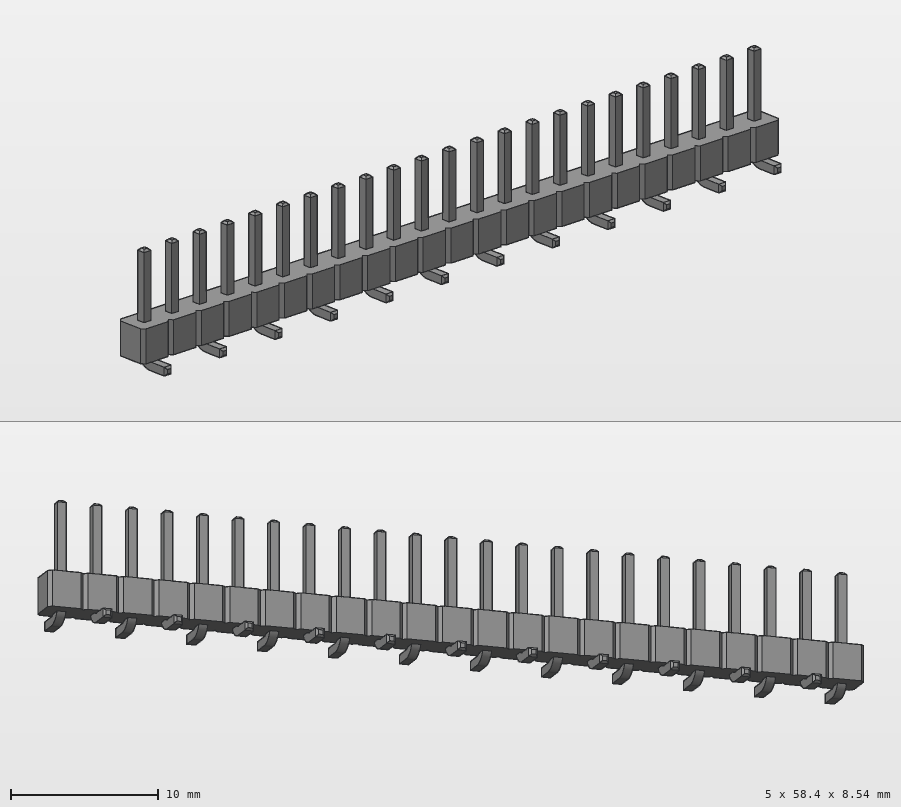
import cadquery as cq
import math

pin_count = 23
pitch = 2.54
body_width = 2.54
body_height = 2.54
body_corner_cut = pitch / 10
body_bottom = 0.76

pin_size = 0.64
pin_top = 8.54
tip_length = pin_size / 4

leg_reach = 2.5
bend_radius = 2 * pin_size


def make_body():
    """Insulator: one block per pin, with the four upright corners of each block cut off."""
    blocks = (
        cq.Workplane("XY", origin=(0, 0, body_bottom))
        .rarray(1, pitch, 1, pin_count)
        .rect(body_width, pitch)
        .extrude(body_height, combine=False)
    )
    body = None
    for block in blocks.vals():
        cut_block = cq.Workplane(block).edges("|Z").chamfer(body_corner_cut)
        body = cut_block if body is None else body.union(cut_block)
    return body


def make_tip(base):
    """Tapered square end of the wire, growing along the normal of the given plane."""
    end_size = pin_size - 2 * tip_length
    return (
        cq.Workplane(base)
        .rect(pin_size, pin_size)
        .workplane(offset=tip_length)
        .rect(end_size, end_size)
        .loft(combine=True)
    )


def make_pin():
    """Square wire with an upright post and a leg bent round towards +X."""
    half = pin_size / 2
    post_end = pin_top - tip_length
    leg_end = leg_reach - tip_length
    bend_x = bend_radius - half
    inner_radius = bend_radius - pin_size
    diagonal = math.sqrt(0.5)
    wire = (
        cq.Workplane("XZ")
        .moveTo(-half, post_end)
        .lineTo(-half, bend_radius)
        .threePointArc(
            (bend_x - bend_radius * diagonal, bend_radius - bend_radius * diagonal),
            (bend_x, 0),
        )
        .lineTo(leg_end, 0)
        .lineTo(leg_end, pin_size)
        .lineTo(bend_x, pin_size)
        .threePointArc(
            (bend_x - inner_radius * diagonal, bend_radius - inner_radius * diagonal),
            (half, bend_radius),
        )
        .lineTo(half, post_end)
        .close()
        .extrude(half, both=True)
    )
    post_tip = make_tip(cq.Plane(origin=(0, 0, post_end), xDir=(1, 0, 0), normal=(0, 0, 1)))
    leg_tip = make_tip(cq.Plane(origin=(leg_end, 0, half), xDir=(0, 1, 0), normal=(1, 0, 0)))
    return wire.union(post_tip).union(leg_tip)


result = make_body()
right_pin = make_pin()
left_pin = right_pin.mirror("YZ")
first_pin_y = -pitch * (pin_count - 1) / 2
for index in range(pin_count):
    pin = right_pin if index % 2 == 0 else left_pin
    result = result.union(pin.translate((0, first_pin_y + index * pitch, 0)))